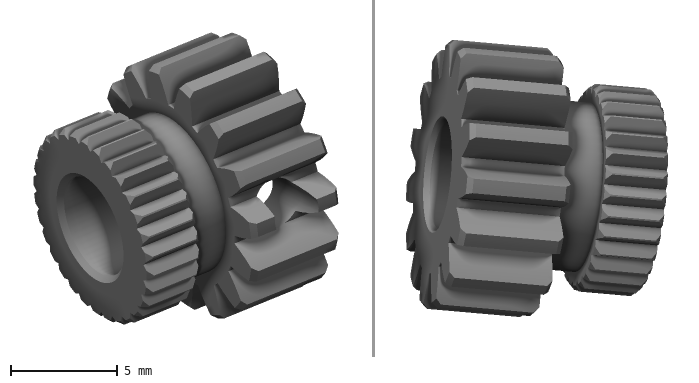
import cadquery as cq
import math

knurl_length = 3.0
neck_length = 2.0
gear_length = 5.0
gear_start = knurl_length + neck_length
total_length = gear_start + gear_length
edge_chamfer = 0.25

gear_teeth = 15
gear_phase = 0.4
gear_tip_radius = 12.74 / 2
gear_pitch_radius = 5.63
gear_root_radius = 4.68
tip_half_width = 0.35
pitch_half_width = 0.59
root_half_width = 0.75

knurl_ridges = 30
knurl_tip_radius = 4.9
knurl_root_radius = 4.42
ridge_land = 0.08

neck_radius = 4.0
bore_radius = 2.5

screw_hole_radius = bore_radius / 2
tooth_pitch_angle = 360 / gear_teeth
screw_hole_angle = tooth_pitch_angle / 2 + gear_phase


def polar(radius, degrees):
    """Point at a radius and angle in the XZ profile plane."""
    angle = math.radians(degrees)
    return (radius * math.cos(angle), radius * math.sin(angle))


def half_angle(half_width, radius):
    """Angle in degrees that a half-width spans at a radius."""
    return math.degrees(math.asin(half_width / radius))


def extrude_along_y(profile, start, length):
    """Extrude an XZ profile toward +Y from a given Y position."""
    return profile.extrude(-length).translate((0, start, 0))


def cylinder(radius, start, length):
    return extrude_along_y(cq.Workplane("XZ").circle(radius), start, length)


def chamfered_blank(radius, start, length):
    return cylinder(radius, start, length).edges("%CIRCLE").chamfer(edge_chamfer)


def pinion():
    tip_angle = half_angle(tip_half_width, gear_tip_radius)
    pitch_angle = half_angle(pitch_half_width, gear_pitch_radius)
    root_angle = half_angle(root_half_width, gear_root_radius)
    centres = [180 + gear_phase + i * tooth_pitch_angle for i in range(gear_teeth)]
    outline = cq.Workplane("XZ").moveTo(*polar(gear_root_radius, centres[0] - root_angle))
    for centre in centres:
        outline = (
            outline.threePointArc(
                polar(gear_pitch_radius, centre - pitch_angle),
                polar(gear_tip_radius, centre - tip_angle),
            )
            .threePointArc(
                polar(gear_tip_radius, centre),
                polar(gear_tip_radius, centre + tip_angle),
            )
            .threePointArc(
                polar(gear_pitch_radius, centre + pitch_angle),
                polar(gear_root_radius, centre + root_angle),
            )
            .lineTo(*polar(gear_root_radius, centre + tooth_pitch_angle - root_angle))
        )
    teeth = extrude_along_y(outline.close(), gear_start, gear_length)
    return teeth.intersect(chamfered_blank(gear_tip_radius, gear_start, gear_length))


def knurled_collar():
    pitch_angle = 360 / knurl_ridges
    land_angle = half_angle(ridge_land / 2, knurl_tip_radius)
    points = []
    for i in range(knurl_ridges):
        centre = i * pitch_angle
        points.append(polar(knurl_tip_radius, centre - land_angle))
        points.append(polar(knurl_tip_radius, centre + land_angle))
        points.append(polar(knurl_root_radius, centre + pitch_angle / 2))
    ridges = extrude_along_y(cq.Workplane("XZ").polyline(points).close(), 0, knurl_length)
    return ridges.intersect(chamfered_blank(knurl_tip_radius, 0, knurl_length))


def bore():
    mouth_radius = bore_radius + edge_chamfer
    half_section = [
        (0, 0),
        (mouth_radius, 0),
        (bore_radius, edge_chamfer),
        (bore_radius, total_length - edge_chamfer),
        (mouth_radius, total_length),
        (0, total_length),
    ]
    return cq.Workplane("XY").polyline(half_section).close().revolve(360, (0, 0), (0, 1))


def screw_hole():
    hole = cq.Workplane("YZ").circle(screw_hole_radius).extrude(gear_tip_radius)
    hole = hole.translate((0, gear_start + gear_length / 2, 0))
    return hole.rotate((0, 0, 0), (0, 1, 0), -screw_hole_angle)


neck = cylinder(neck_radius, 0, total_length)
result = neck.union(pinion()).union(knurled_collar()).cut(bore()).cut(screw_hole())